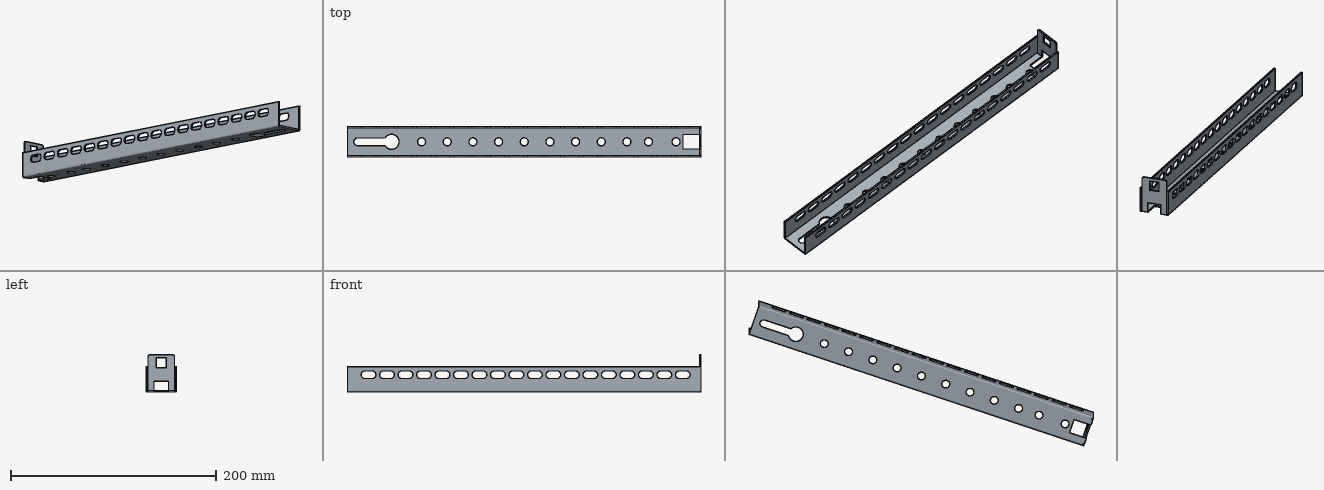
import cadquery as cq

length = 345.0
width = 30.0
wall_height = 25.0
sheet = 1.52
bend_radius = 1.5

tab_width = 26.0
tab_top = 36.5
tab_corner = 2.0
tab_inner_x = length - sheet
wall_setback = 0.5
wall_length = length - wall_setback
tab_hole = 9.5
tab_hole_z = 28.5

window_start = 327.5
window_width = 13.8
window_top = 10.5

slot_count = 18
first_slot_x = 20.7
last_slot_x = 327.0
slot_length = 14.0
slot_height = 7.2
slot_z = 17.0

hole_diameter = 7.5
row_count = 9
row_start = 72.5
row_end = 272.5
extra_holes = (293.5, 320.5)

keyhole_slot_x = 10.0
keyhole_round_x = 43.0
keyhole_slot_width = 7.2
keyhole_diameter = 14.5


def spaced(first, last, count):
    """Evenly spaced places from first to last."""
    step = (last - first) / (count - 1)
    return [first + i * step for i in range(count)]


def block(x_range, y_size, z_range):
    """Box centred on Y that fills the given X and Z ranges."""
    x_size = x_range[1] - x_range[0]
    z_size = z_range[1] - z_range[0]
    corner = (x_range[0], -y_size / 2, z_range[0])
    return cq.Workplane("XY").box(x_size, y_size, z_size, centered=False).translate(corner)


def make_channel():
    outside = block((0, wall_length), width, (0, wall_height))
    outside = outside.edges("|X and <Z").fillet(bend_radius)
    inside = block((0, wall_length), width - 2 * sheet, (sheet, wall_height))
    bend_gap = block((length - bend_radius, wall_length), width - 2 * sheet, (0, sheet))
    return outside.cut(inside).cut(bend_gap)


def make_tab():
    upright = block((tab_inner_x, length), tab_width, (0, tab_top))
    upright = upright.edges("|X and >Z").fillet(tab_corner)
    foot = block((window_start, length), tab_width, (0, sheet))
    tab = upright.union(foot)
    tab = tab.edges("|Y and >X and <Z").fillet(bend_radius)
    hole_z_range = (tab_hole_z - tab_hole / 2, tab_hole_z + tab_hole / 2)
    square = block((tab_inner_x, length), tab_hole, hole_z_range)
    return tab.cut(square)


def make_wall_slots():
    places = [(x, slot_z) for x in spaced(first_slot_x, last_slot_x, slot_count)]
    slots = cq.Workplane("XZ").pushPoints(places).slot2D(slot_length, slot_height)
    return slots.extrude(width / 2, both=True)


def make_base_holes():
    row = spaced(row_start, row_end, row_count)
    places = [(x, 0) for x in (*row, *extra_holes)]
    return cq.Workplane("XY").pushPoints(places).circle(hole_diameter / 2).extrude(sheet)


def make_keyhole():
    slot = block((keyhole_slot_x, keyhole_round_x), keyhole_slot_width, (0, sheet))
    slot_end = cq.Workplane("XY").center(keyhole_slot_x, 0).circle(keyhole_slot_width / 2).extrude(sheet)
    opening = cq.Workplane("XY").center(keyhole_round_x, 0).circle(keyhole_diameter / 2).extrude(sheet)
    return slot.union(slot_end).union(opening)


window = block((window_start, length), window_width, (0, window_top))

result = make_channel().union(make_tab())
for opening in (make_wall_slots(), make_base_holes(), make_keyhole(), window):
    result = result.cut(opening)